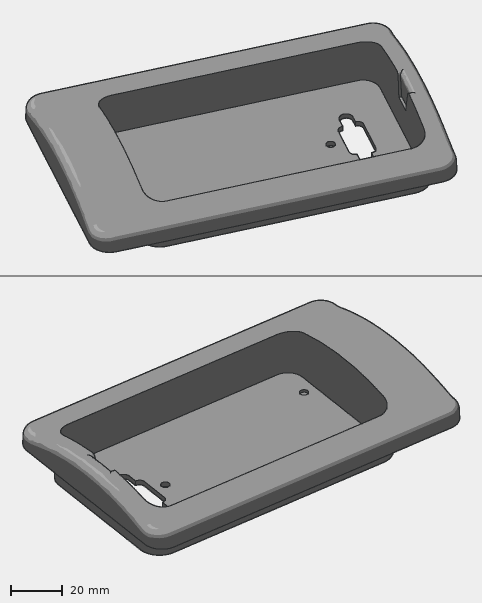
import cadquery as cq
import math

frame_width = 93.3
frame_length = 149.3
total_height = 26.0
frame_corner_radius = 8.2
frame_base_z = 12.4
shoulder_z = 19.9
crown_half_width = 37.0
crown_valley_radius = 11.3
outer_draft = 2.0
top_edge_radius = 3.3

wall = 2.7
floor_thickness = 2.2
pocket_draft = 1.5
box_width = 71.4
box_length = 119.2
box_center_y = 8.4
box_overlap = 1.5
box_corner_radius = 9.1
pocket_width = box_width - 2 * wall
pocket_length = box_length - 2 * wall
pocket_corner_radius = 7.0
pocket_rim_gain = (total_height - floor_thickness) * math.tan(math.radians(pocket_draft))

connector_y = 47.0
ear_length = 31.2
ear_width = 5.5
d_top_width = 20.3
d_bottom_width = 16.7
d_height = 10.6
d_corner_radius = 2.2

screw_hole_diameter = 3.6
screw_hole_y = 36.5
dimple_x = 17.5
dimple_y = -43.0
dimple_diameter = 3.6
dimple_depth = 1.2

notch_bottom_z = 15.0
notch_depth = 0.9
notch_top_width = 12.2
notch_bottom_width = 8.4
notch_lip_radius = 1.8
notch_reach = 7.5

selection_margin = 0.1
seam_clearance = 6.0
seam_band_length = 1.5


def rounded_block(width, length, corner_radius, bottom_z, height, center_y=0.0, taper=0.0):
    """Upright block with rounded vertical corners; a positive taper narrows it upward."""
    outline = cq.Sketch().rect(width, length).vertices().fillet(corner_radius)
    return (
        cq.Workplane("XY", origin=(0, center_y, bottom_z))
        .placeSketch(outline)
        .extrude(height, taper=taper)
    )


def box_selector(width, length, low_z, high_z):
    """Pick edges whose centers lie in a box centered on the Z axis."""
    return cq.selectors.BoxSelector(
        (-width / 2, -length / 2, low_z - selection_margin),
        (width / 2, length / 2, high_z + selection_margin),
    )


def make_crown_envelope():
    """Full-length prism under the shoulders and the crown arc, with rounded valleys."""
    half_width = frame_width / 2
    profile = (
        cq.Workplane("XZ", origin=(0, frame_length / 2, 0))
        .moveTo(-half_width, frame_base_z)
        .lineTo(half_width, frame_base_z)
        .lineTo(half_width, shoulder_z)
        .lineTo(crown_half_width, shoulder_z)
        .threePointArc((0, total_height), (-crown_half_width, shoulder_z))
        .lineTo(-half_width, shoulder_z)
        .close()
        .extrude(frame_length)
    )
    valleys = box_selector(
        2 * crown_half_width + seam_clearance, seam_band_length, shoulder_z, shoulder_z,
    )
    return profile.edges(valleys).fillet(crown_valley_radius)


def make_frame():
    blank = rounded_block(
        frame_width, frame_length, frame_corner_radius,
        frame_base_z, total_height, taper=outer_draft,
    )
    frame = make_crown_envelope().intersect(blank)
    upper_edges = box_selector(frame_width, frame_length, shoulder_z, total_height)
    lengthwise_seams = box_selector(
        2 * crown_half_width + seam_clearance, seam_band_length, shoulder_z, total_height,
    )
    return frame.edges(upper_edges - lengthwise_seams).fillet(top_edge_radius)


def make_pocket():
    """Pocket void, drafted so that its rim is wider than its floor."""
    return rounded_block(
        pocket_width, pocket_length, pocket_corner_radius,
        floor_thickness, total_height, box_center_y, -pocket_draft,
    )


def make_connector_cutout():
    ears = cq.Workplane("XY").center(0, connector_y).slot2D(ear_length, ear_width).extrude(total_height)
    top_y = connector_y + d_height / 2
    bottom_y = connector_y - d_height / 2
    d_opening = (
        cq.Workplane("XY")
        .moveTo(-d_top_width / 2, top_y)
        .lineTo(d_top_width / 2, top_y)
        .lineTo(d_bottom_width / 2, bottom_y)
        .lineTo(-d_bottom_width / 2, bottom_y)
        .close()
        .extrude(total_height)
        .edges("|Z")
        .fillet(d_corner_radius)
    )
    return ears.union(d_opening)


def floor_hole(x, y, diameter, depth):
    """Round hole sunk into the pocket floor."""
    return cq.Workplane("XY", origin=(x, y, floor_thickness - depth)).circle(diameter / 2).extrude(depth)


def add_finger_notch(body):
    """Tapering recess in the pocket's back wall, rounded where it meets the crown."""
    back_y = box_center_y + pocket_length / 2 + pocket_rim_gain + notch_depth
    notch = (
        cq.Workplane("XZ", origin=(0, back_y, 0))
        .moveTo(-notch_bottom_width / 2, notch_bottom_z)
        .lineTo(notch_bottom_width / 2, notch_bottom_z)
        .lineTo(notch_top_width / 2, total_height)
        .lineTo(-notch_top_width / 2, total_height)
        .close()
        .extrude(notch_reach)
    )
    lip = cq.selectors.BoxSelector(
        (-notch_top_width, back_y - notch_depth, total_height - notch_lip_radius),
        (notch_top_width, back_y + selection_margin, total_height + selection_margin),
    )
    return body.cut(notch).edges(lip).fillet(notch_lip_radius)


box = rounded_block(
    box_width, box_length, box_corner_radius, 0, frame_base_z + box_overlap, box_center_y,
)
body = make_frame().union(box).cut(make_pocket())
body = add_finger_notch(body)
result = (
    body.cut(make_connector_cutout())
    .cut(floor_hole(0, screw_hole_y, screw_hole_diameter, floor_thickness))
    .cut(floor_hole(dimple_x, dimple_y, dimple_diameter, dimple_depth))
)